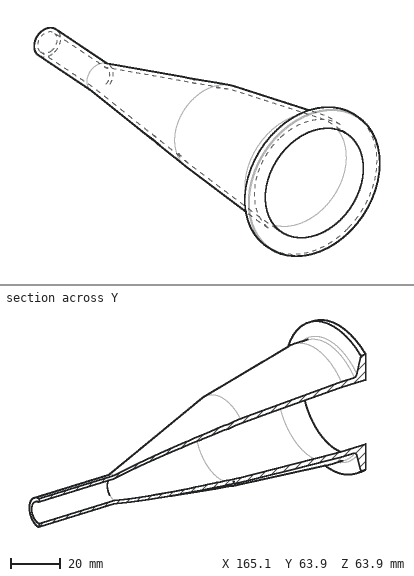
import cadquery as cq
import math


large_diameter = 50.9
middle_diameter = 38.1
small_diameter = 12.7
flange_diameter = 63.9
wall = 1.7

total_length = 165.1
small_tube_length = 38.1
small_cone_length = 63.5
large_cone_length = large_diameter

rim_width = 2.6
flange_back_angle = 20.0
neck_fillet = 1.3
rim_fillet = 0.3

small_cone_start = small_tube_length
large_cone_start = small_cone_start + small_cone_length
ferrule_start = large_cone_start + large_cone_length
rim_start = total_length - rim_width


def section_wire(x, outer_diameter, inset):
    """Circle at station x, tangent to the straight side and shrunk by inset."""
    center_y = (outer_diameter - large_diameter) / 2
    radius = outer_diameter / 2 - inset
    return cq.Wire.makeCircle(radius, cq.Vector(x, center_y, 0), cq.Vector(1, 0, 0))


def reducer_solid(inset):
    """Solid through all sections, from the small end to the large end."""
    stations = [
        (0, small_diameter),
        (small_cone_start, small_diameter),
        (large_cone_start, middle_diameter),
        (ferrule_start, large_diameter),
        (total_length, large_diameter),
    ]
    wires = [section_wire(x, diameter, inset) for x, diameter in stations]
    return cq.Workplane(obj=cq.Solid.makeLoft(wires, True))


def ferrule_solid():
    """Short neck with a tapered clamp flange, filleted at the root and rim."""
    neck_radius = large_diameter / 2
    rim_radius = flange_diameter / 2
    back_depth = (rim_radius - neck_radius) * math.tan(math.radians(flange_back_angle))
    taper_start = rim_start - back_depth
    profile = (
        cq.Workplane("XY")
        .moveTo(ferrule_start, 0)
        .lineTo(ferrule_start, neck_radius)
        .lineTo(taper_start, neck_radius)
        .lineTo(rim_start, rim_radius)
        .lineTo(total_length, rim_radius)
        .lineTo(total_length, 0)
        .close()
    )
    body = profile.revolve(360, (0, 0, 0), (1, 0, 0))
    half_window = neck_fillet / 2
    root_edge = cq.selectors.BoxSelector(
        (taper_start - half_window, -rim_radius, -rim_radius),
        (taper_start + half_window, rim_radius, rim_radius),
    )
    body = body.edges("%CIRCLE").edges(root_edge).fillet(neck_fillet)
    return body.faces(">X").edges().fillet(rim_fillet)


outside = reducer_solid(0).union(ferrule_solid())
result = outside.cut(reducer_solid(wall))